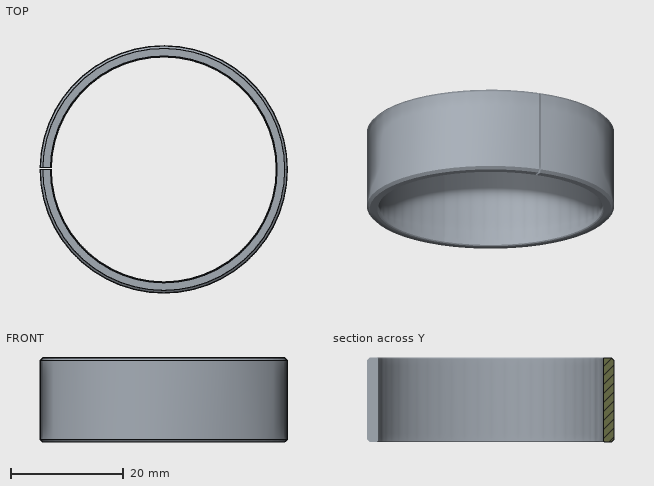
import cadquery as cq

outer_diameter = 44.0
inner_diameter = 40.0
height = 15.0

outer_chamfer = 0.5
inner_chamfer = 0.18

split_width = 0.3

outer_radius = outer_diameter / 2
inner_radius = inner_diameter / 2

wall_section = [
    (inner_radius, inner_chamfer),
    (inner_radius + inner_chamfer, 0),
    (outer_radius - outer_chamfer, 0),
    (outer_radius, outer_chamfer),
    (outer_radius, height - outer_chamfer),
    (outer_radius - outer_chamfer, height),
    (inner_radius + inner_chamfer, height),
    (inner_radius, height - inner_chamfer),
]
ring = cq.Workplane("XZ").polyline(wall_section).close().revolve(360, (0, 0), (0, 1))

split = cq.Workplane("XY").box(outer_radius, split_width, height, centered=False)
split = split.translate((-outer_radius, 0, 0))

result = ring.cut(split)